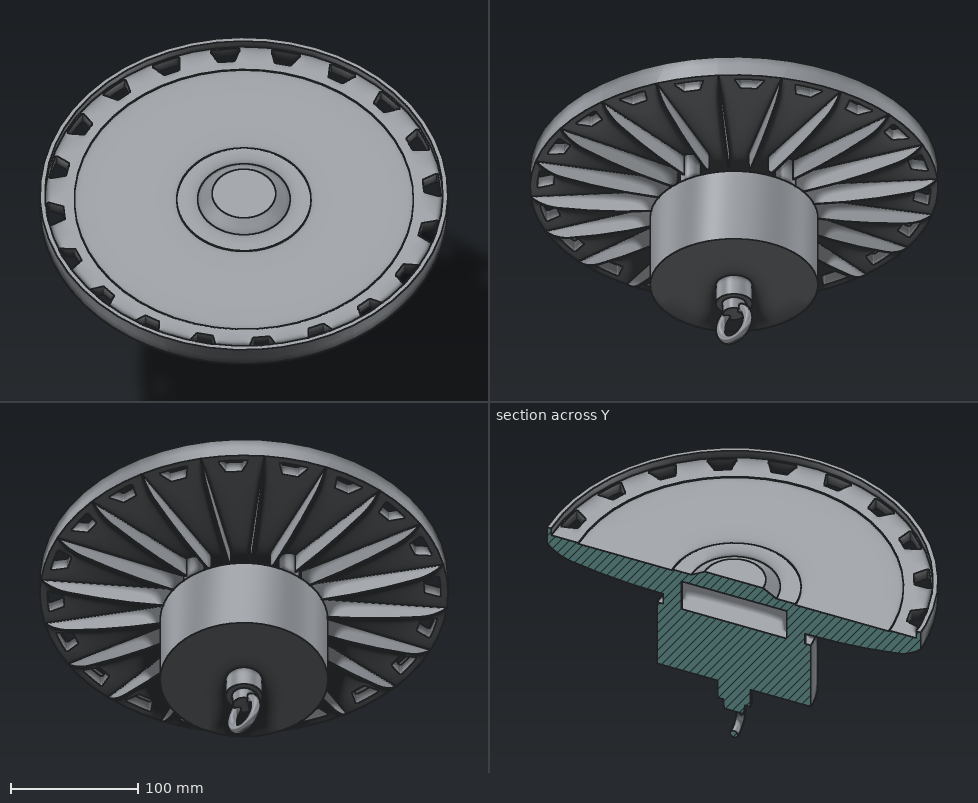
import cadquery as cq
import math


RIM_DIAMETER = 321.0
RIM_BORE_DIAMETER = 313.0
DISH_HEIGHT = 17.3
FLOOR_DEPTH = 7.0

PANEL_DIAMETER = 266.8
PANEL_RECESS = 1.0
PAD_DIAMETER = 105.5
PAD_HEIGHT = 1.0
CONE_BASE_DIAMETER = 73.0
CONE_TOP_DIAMETER = 50.0

FIN_COUNT = 20
WINDOW_INNER_RADIUS = 142.0
WINDOW_OUTER_RADIUS = 154.7
WINDOW_INNER_WIDTH = 13.0
WINDOW_OUTER_WIDTH = 24.5
WINDOW_CORNER_RADIUS = 1.3

FIN_THICKNESS = 1.0
FIN_DEPTH = 18.3
FIN_INNER_RADIUS = 52.0
FIN_CURVE_START_RADIUS = 64.2
FIN_KNEE_RADIUS = 139.5
FIN_KNEE_DEPTH = 11.5
FIN_CORNER_RADIUS = 7.7

POST_COUNT = 4
POST_DIAMETER = 16.0
POST_CIRCLE_RADIUS = 53.0
HOUSING_DIAMETER = 132.0
HOUSING_TOP_DEPTH = 45.3
HOUSING_HEIGHT = 64.0

COLLAR_DIAMETER = 28.5
COLLAR_HEIGHT = 17.5
NECK_TOP_DIAMETER = 19.0
NECK_BOTTOM_DIAMETER = 17.0
NECK_HEIGHT = 9.3
RING_OUTER_DIAMETER = 35.0
RING_WIRE_DIAMETER = 7.0
TOTAL_HEIGHT = 163.0

PANEL_DEPTH = FLOOR_DEPTH + PANEL_RECESS
PAD_DEPTH = PANEL_DEPTH - PAD_HEIGHT
HOUSING_BOTTOM_DEPTH = HOUSING_TOP_DEPTH + HOUSING_HEIGHT
COLLAR_BOTTOM_DEPTH = HOUSING_BOTTOM_DEPTH + COLLAR_HEIGHT
FIN_PITCH = 360.0 / FIN_COUNT


def disc(diameter, top_depth, bottom_depth):
    """Upright cylinder on the Z axis between two depths."""
    height = bottom_depth - top_depth
    return cq.Workplane("XY", origin=(0, 0, -bottom_depth)).circle(diameter / 2).extrude(height)


def cone(bottom_diameter, top_diameter, top_depth, bottom_depth):
    """Truncated cone on the Z axis between two depths."""
    height = bottom_depth - top_depth
    base = cq.Vector(0, 0, -bottom_depth)
    return cq.Workplane(cq.Solid.makeCone(bottom_diameter / 2, top_diameter / 2, height, base))


def make_dish():
    dish = disc(RIM_DIAMETER, 0, DISH_HEIGHT)
    dish = dish.cut(disc(RIM_BORE_DIAMETER, 0, FLOOR_DEPTH))
    dish = dish.cut(disc(PANEL_DIAMETER, 0, PANEL_DEPTH))
    dish = dish.union(disc(PAD_DIAMETER, PAD_DEPTH, DISH_HEIGHT))
    return dish.union(cone(CONE_BASE_DIAMETER, CONE_TOP_DIAMETER, 0, PAD_DEPTH))


def make_window():
    """Cutter for one window on the +X axis: a trapezoid with an outer side that follows the rim."""
    half_inner = WINDOW_INNER_WIDTH / 2
    half_outer = WINDOW_OUTER_WIDTH / 2
    corner_x = math.sqrt(WINDOW_OUTER_RADIUS**2 - half_outer**2)
    return (
        cq.Workplane("XY", origin=(0, 0, -DISH_HEIGHT))
        .moveTo(WINDOW_INNER_RADIUS, -half_inner)
        .lineTo(corner_x, -half_outer)
        .threePointArc((WINDOW_OUTER_RADIUS, 0), (corner_x, half_outer))
        .lineTo(WINDOW_INNER_RADIUS, half_inner)
        .close()
        .extrude(DISH_HEIGHT)
        .edges("|Z")
        .fillet(WINDOW_CORNER_RADIUS)
    )


def make_fin():
    """One fin along +X: flat near the centre, then a gentle arc and a tighter one up to the rim."""
    knee = (FIN_KNEE_RADIUS, -FIN_KNEE_DEPTH)
    rim_edge = (RIM_DIAMETER / 2, 0)
    return (
        cq.Workplane("XZ", origin=(0, FIN_THICKNESS / 2, -DISH_HEIGHT))
        .moveTo(*rim_edge)
        .lineTo(FIN_INNER_RADIUS, 0)
        .lineTo(FIN_INNER_RADIUS, -FIN_DEPTH)
        .lineTo(FIN_CURVE_START_RADIUS, -FIN_DEPTH)
        .tangentArcPoint(knee, relative=False)
        .tangentArcPoint(rim_edge, relative=False)
        .close()
        .extrude(FIN_THICKNESS)
        .faces("<X")
        .edges("|Y")
        .edges("<Z")
        .fillet(FIN_CORNER_RADIUS)
    )


def make_posts():
    return (
        cq.Workplane("XY", origin=(0, 0, -HOUSING_TOP_DEPTH))
        .polarArray(POST_CIRCLE_RADIUS, 0, 360, POST_COUNT)
        .circle(POST_DIAMETER / 2)
        .extrude(HOUSING_TOP_DEPTH - DISH_HEIGHT)
    )


def make_hanging_eye():
    """Collar and neck below the housing, with a ring standing in the YZ plane."""
    neck_bottom_depth = COLLAR_BOTTOM_DEPTH + NECK_HEIGHT
    collar = disc(COLLAR_DIAMETER, HOUSING_BOTTOM_DEPTH, COLLAR_BOTTOM_DEPTH)
    neck = cone(NECK_BOTTOM_DIAMETER, NECK_TOP_DIAMETER, COLLAR_BOTTOM_DEPTH, neck_bottom_depth)
    ring_centre = cq.Vector(0, 0, RING_OUTER_DIAMETER / 2 - TOTAL_HEIGHT)
    ring_radius = (RING_OUTER_DIAMETER - RING_WIRE_DIAMETER) / 2
    ring = cq.Solid.makeTorus(ring_radius, RING_WIRE_DIAMETER / 2, ring_centre, cq.Vector(1, 0, 0))
    return collar.union(neck).union(cq.Workplane(ring))


result = make_dish()
window = make_window()
fin = make_fin()
for index in range(FIN_COUNT):
    fin_angle = index * FIN_PITCH
    window_angle = fin_angle + FIN_PITCH / 2
    result = result.cut(window.rotate((0, 0, 0), (0, 0, 1), window_angle))
    result = result.union(fin.rotate((0, 0, 0), (0, 0, 1), fin_angle))

result = result.union(make_posts())
result = result.union(disc(HOUSING_DIAMETER, HOUSING_TOP_DEPTH, HOUSING_BOTTOM_DEPTH))
result = result.union(make_hanging_eye())